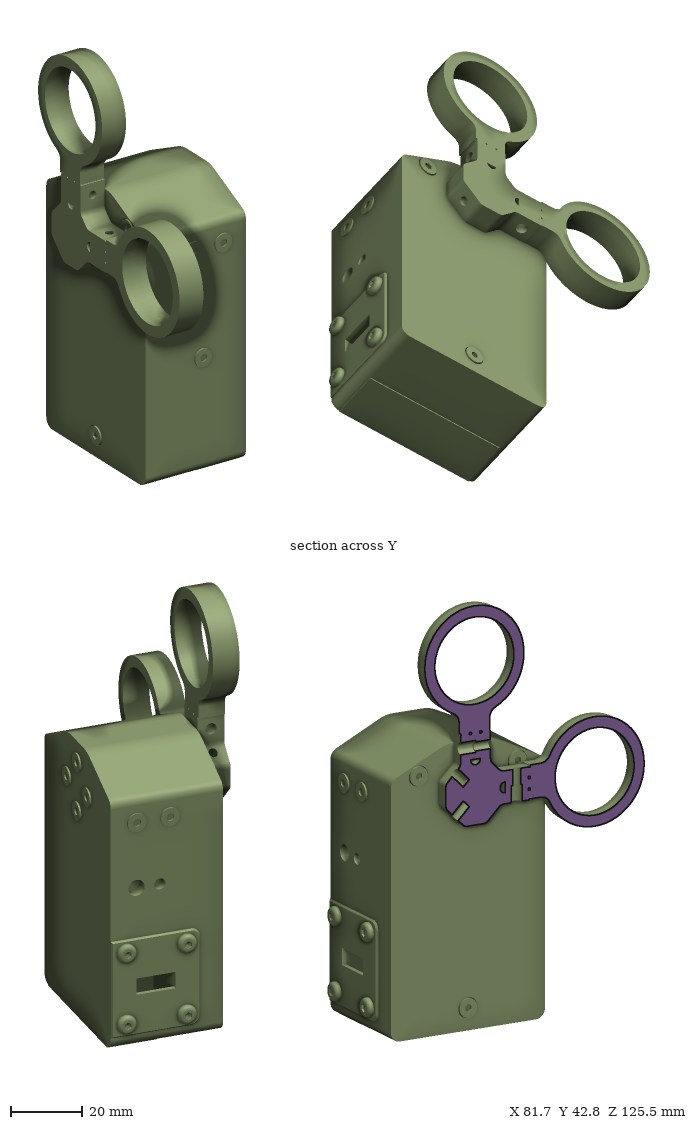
import cadquery as cq
import math

HOUSING_WIDTH = 49.7
HOUSING_DEPTH = 33.9
HOUSING_HEIGHT = 84.6
ROOF_WIDTH = 14.0
ROOF_DROP = 8.4
ROOF_RADIUS = 10.0
CORNER_RADIUS = 2.9
HALF_WIDTH = HOUSING_WIDTH / 2
RAISED = 0.5

AXIS_Z = 70.7
ARM_GAP = 0.4
ARM_THICKNESS = 8.0
ARM_BACK = -ARM_GAP
ARM_MIDDLE = ARM_BACK - ARM_THICKNESS / 2
HUB_INRADIUS = 9.7
HUB_HALF_FLAT = 3.5
HUB_RADIUS = 2.3
ARM_WIDTH = 9.8
NECK_DISTANCE = 17.3
RING_DISTANCE = 38.4
RING_OFFSET = 0.4
RING_OUTER_RADIUS = 16.0
RING_INNER_RADIUS = 12.7
STEM_WIDTH = 10.0
STEM_FILLET = 3.1

NECK_HOLE_DIAMETER = 0.6
NECK_HOLE_PITCH = 3.4
NECK_HOLE_COUNT = 4
SLOT_RADIUS = 1.5
SLOT_DISTANCE = 9.5
CROSS_HOLE_DISTANCE = 13.3
CROSS_HOLE_DIAMETER = 2.5
CROSS_BORE_DIAMETER = 3.4
CROSS_BORE_DEPTH = ARM_WIDTH / 2
SET_HOLE_DIAMETER = 2.6
SET_HOLE_DEPTH = 5.0

COVER_DEPTH = 26.9
COVER_THICKNESS = 0.6
COVER_HEIGHT = 29.7
COVER_Y = HOUSING_DEPTH - COVER_DEPTH / 2
COVER_Z = 18.6
COVER_RADIUS = 2.6
COVER_CHAMFER = 0.44
WINDOW_LENGTH = 11.8
WINDOW_HEIGHT = 5.0
WINDOW_DEPTH = 1.4
CAVITY_DEPTH = 15.0
CAVITY_MARGIN = 0.6
CAVITY_DROP = 12.3

SCREW_SPACING_Y = 18.2
SCREW_SPACING_Z = 22.0
SCREW_HEAD_DIAMETER = 5.8
SCREW_HEAD_HEIGHT = 1.8
SCREW_RIM_HEIGHT = 0.4
SCREW_TOP_RADIUS = 1.6
SCREW_BULGE = 0.31
SOCKET_ACROSS_FLATS = 2.0
SOCKET_DEPTH = 0.8
DRILL_POINT_ANGLE = 118

FLUSH_DIAMETER = 5.6
FLUSH_SOCKET_DIAMETER = 2.3
FLUSH_SOCKET_DEPTH = 0.5
SIDE_HEAD_Z = 69.1
SIDE_HEAD_YS = (16.0, 26.1)
LOWER_HEAD_Y = 19.3
LOWER_HEAD_Z = 35.4
BACK_HEAD_RADIUS = 7.5
FRONT_HEAD_XZ = ((-15.9, 76.5), (15.9, 76.5), (0, 6.7))
FRONT_BORE_DIAMETER = 6.1
FRONT_BORE_DEPTH = 1.0
FRONT_RAISED = 0.4

WALL_HOLES = ((26.1, 4.9), (19.1, 3.4))
WALL_HOLE_Z = 48.8
WALL_HOLE_DEPTH = 3.8

FLOOR_PLATE_WIDTH = 44.4
FLOOR_PLATE_DEPTH = 15.0
FLOOR_PLATE_THICKNESS = 0.4

MARGIN = 0.1

LEFT = cq.Vector(-1, 0, 0)
RIGHT = cq.Vector(1, 0, 0)
FRONT = cq.Vector(0, -1, 0)
BACK = cq.Vector(0, 1, 0)


def cylinder(diameter, length, start, direction):
    return cq.Workplane(obj=cq.Solid.makeCylinder(diameter / 2, length, cq.Vector(*start), direction))


def hexagon(across_flats, length, start, direction):
    plane = cq.Plane(origin=start, normal=direction)
    return cq.Workplane(plane).polygon(6, across_flats / math.cos(math.pi / 6)).extrude(length)


def drill_point(diameter, start, direction):
    radius = diameter / 2
    length = radius / math.tan(math.radians(DRILL_POINT_ANGLE / 2))
    return cq.Workplane(obj=cq.Solid.makeCone(radius, 0, length, cq.Vector(*start), direction))


def block_between(low, high):
    size = [b - a for a, b in zip(low, high)]
    return cq.Workplane().box(*size, centered=False).translate(low)


def housing_block():
    half_roof = ROOF_WIDTH / 2
    shoulder = HOUSING_HEIGHT - ROOF_DROP
    outline = [
        (-HALF_WIDTH, 0),
        (HALF_WIDTH, 0),
        (HALF_WIDTH, shoulder),
        (half_roof, HOUSING_HEIGHT),
        (-half_roof, HOUSING_HEIGHT),
        (-HALF_WIDTH, shoulder),
    ]
    block = cq.Workplane("XZ").polyline(outline).close().extrude(-HOUSING_DEPTH)
    block = block.edges("|Y").edges("<X or >X").fillet(CORNER_RADIUS)
    roof_edges = cq.selectors.BoxSelector(
        (-half_roof - MARGIN, -MARGIN, HOUSING_HEIGHT - MARGIN),
        (half_roof + MARGIN, HOUSING_DEPTH + MARGIN, HOUSING_HEIGHT + MARGIN),
    )
    return block.edges("|Y").edges(roof_edges).fillet(ROOF_RADIUS)


def flush_head(start, direction):
    """A low round head with a round socket, standing on a face of the housing."""
    head = cylinder(FLUSH_DIAMETER, RAISED, start, direction)
    top = cq.Vector(*start) + direction * RAISED
    return head.cut(cylinder(FLUSH_SOCKET_DIAMETER, FLUSH_SOCKET_DEPTH, top.toTuple(), direction * -1))


def add_flush_heads(body):
    for y in SIDE_HEAD_YS:
        body = body.union(flush_head((-HALF_WIDTH, y, SIDE_HEAD_Z), LEFT))
        body = body.union(flush_head((HALF_WIDTH, y, SIDE_HEAD_Z), RIGHT))
    body = body.union(flush_head((HALF_WIDTH, LOWER_HEAD_Y, LOWER_HEAD_Z), RIGHT))
    for x, z in ((0, 1), (1, 0), (0, -1), (-1, 0)):
        start = (x * BACK_HEAD_RADIUS, HOUSING_DEPTH, AXIS_Z + z * BACK_HEAD_RADIUS)
        body = body.union(flush_head(start, BACK))
    return body


def add_front_heads(body):
    """Heads in counterbores of the front face, each leaving a ring-shaped groove."""
    length = FRONT_BORE_DEPTH + FRONT_RAISED
    for x, z in FRONT_HEAD_XZ:
        body = body.cut(cylinder(FRONT_BORE_DIAMETER, FRONT_BORE_DEPTH, (x, 0, z), BACK))
        head = cylinder(FLUSH_DIAMETER, length, (x, FRONT_BORE_DEPTH, z), FRONT)
        socket = hexagon(SOCKET_ACROSS_FLATS, SOCKET_DEPTH, (x, -FRONT_RAISED, z), BACK)
        body = body.union(head.cut(socket))
    return body


def drilled_hole(y, diameter):
    """A blind hole in the left wall, ending in a drill point."""
    hole = cylinder(diameter, WALL_HOLE_DEPTH, (-HALF_WIDTH, y, WALL_HOLE_Z), RIGHT)
    return hole.union(drill_point(diameter, (WALL_HOLE_DEPTH - HALF_WIDTH, y, WALL_HOLE_Z), RIGHT))


def add_side_cover(body):
    """The raised cover with its window and the cavity behind it."""
    cover = (
        cq.Workplane("YZ", origin=(-HALF_WIDTH, COVER_Y, COVER_Z))
        .rect(COVER_DEPTH, COVER_HEIGHT)
        .extrude(-COVER_THICKNESS)
        .edges("|X and <Y")
        .fillet(COVER_RADIUS)
        .faces("<X")
        .chamfer(COVER_CHAMFER)
    )
    y_low = COVER_Y - WINDOW_LENGTH / 2
    y_high = COVER_Y + WINDOW_LENGTH / 2
    z_low = COVER_Z - WINDOW_HEIGHT / 2
    z_high = COVER_Z + WINDOW_HEIGHT / 2
    outside = -HALF_WIDTH - COVER_THICKNESS
    cavity_start = outside + WINDOW_DEPTH
    window = block_between((outside, y_low, z_low), (cavity_start, y_high, z_high))
    cavity = block_between(
        (cavity_start, y_low, z_low - CAVITY_DROP),
        (cavity_start + CAVITY_DEPTH, y_high + CAVITY_MARGIN, z_high + CAVITY_MARGIN),
    )
    return body.union(cover).cut(window).cut(cavity)


def make_housing():
    body = add_front_heads(add_flush_heads(housing_block()))
    for y, diameter in WALL_HOLES:
        body = body.cut(drilled_hole(y, diameter))
    floor_plate = block_between(
        (-FLOOR_PLATE_WIDTH / 2, HOUSING_DEPTH - FLOOR_PLATE_DEPTH, -FLOOR_PLATE_THICKNESS),
        (FLOOR_PLATE_WIDTH / 2, HOUSING_DEPTH, 0),
    )
    return add_side_cover(body).union(floor_plate)


ARM_PLANE = cq.Plane(origin=(0, ARM_BACK, AXIS_Z), xDir=(1, 0, 0), normal=(0, -1, 0))


def arm_plane():
    return cq.Workplane(ARM_PLANE)


def turned_right(shape):
    """The upright shape turned a quarter turn about the hub axis, to point along +X."""
    return shape.rotate((0, 0, AXIS_Z), (0, 1, AXIS_Z), 90)


def mirrored_right(shape):
    """The upright shape mirrored in the diagonal plane between the two arms."""
    return turned_right(shape.mirror("YZ"))


def make_hub():
    """The octagon and both arms up to the necks, with rounded corners."""
    r, f = HUB_INRADIUS, HUB_HALF_FLAT
    octagon = [(r, f), (f, r), (-f, r), (-r, f), (-r, -f), (-f, -r), (f, -r), (r, -f)]
    hub = arm_plane().polyline(octagon).close().extrude(ARM_THICKNESS)
    arm = arm_plane().center(0, NECK_DISTANCE / 2).rect(ARM_WIDTH, NECK_DISTANCE).extrude(ARM_THICKNESS)
    hub = hub.union(arm).union(turned_right(arm))
    reach = NECK_DISTANCE - MARGIN
    inner = cq.selectors.BoxSelector(
        (-reach, -ARM_THICKNESS * 2, AXIS_Z - reach),
        (reach, 0, AXIS_Z + reach),
    )
    return hub.edges("|Y").edges(inner).fillet(HUB_RADIUS)


def ring_holder():
    """The upright ring with its stem."""
    stem_length = RING_DISTANCE - NECK_DISTANCE
    disc = arm_plane().center(-RING_OFFSET, RING_DISTANCE).circle(RING_OUTER_RADIUS).extrude(ARM_THICKNESS)
    stem = (
        arm_plane()
        .center(-RING_OFFSET, NECK_DISTANCE + stem_length / 2)
        .rect(STEM_WIDTH, stem_length)
        .extrude(ARM_THICKNESS)
    )
    joint_z = AXIS_Z + RING_DISTANCE - math.sqrt(RING_OUTER_RADIUS**2 - (STEM_WIDTH / 2) ** 2)
    joint = cq.selectors.BoxSelector(
        (-STEM_WIDTH, -ARM_THICKNESS * 2, joint_z - MARGIN),
        (STEM_WIDTH, 0, joint_z + MARGIN),
    )
    holder = disc.union(stem).edges("|Y").edges(joint).fillet(STEM_FILLET)
    bore = arm_plane().center(-RING_OFFSET, RING_DISTANCE).circle(RING_INNER_RADIUS).extrude(ARM_THICKNESS)
    return holder.cut(bore)


def upright_arm_cuts():
    """The neck holes, the half-round opening and the cross hole of the upright arm."""
    neck_holes = (
        arm_plane()
        .center(0, NECK_DISTANCE)
        .rarray(NECK_HOLE_PITCH, 1.3, NECK_HOLE_COUNT, 1)
        .circle(NECK_HOLE_DIAMETER / 2)
        .extrude(ARM_THICKNESS)
    )
    opening = (
        arm_plane()
        .moveTo(-SLOT_RADIUS, SLOT_DISTANCE)
        .threePointArc((0, SLOT_DISTANCE - SLOT_RADIUS), (SLOT_RADIUS, SLOT_DISTANCE))
        .close()
        .extrude(ARM_THICKNESS)
    )
    start = (-ARM_WIDTH / 2, ARM_MIDDLE, AXIS_Z + CROSS_HOLE_DISTANCE)
    cross_hole = cylinder(CROSS_HOLE_DIAMETER, ARM_WIDTH, start, RIGHT)
    cross_bore = cylinder(CROSS_BORE_DIAMETER, CROSS_BORE_DEPTH, start, RIGHT)
    return [neck_holes, opening, cross_hole.union(cross_bore)]


def set_hole(side):
    """A blind hole in a slanted left face of the hub, above (1) or below (-1) the axis."""
    offset = (HUB_INRADIUS + HUB_HALF_FLAT) / 2
    start = (-offset, ARM_MIDDLE, AXIS_Z + side * offset)
    return cylinder(SET_HOLE_DIAMETER, SET_HOLE_DEPTH, start, cq.Vector(1, 0, -side))


def make_flip_arm():
    holder = ring_holder()
    arm = make_hub().union(holder).union(turned_right(holder))
    for cut in upright_arm_cuts():
        arm = arm.cut(cut).cut(mirrored_right(cut))
    for side in (1, -1):
        arm = arm.cut(set_hole(side))
    return arm


def cover_screw(y, z):
    """A dome-headed screw resting on the side cover, with a drilled hexagon socket."""
    radius = SCREW_HEAD_DIAMETER / 2
    middle_radius = (radius + SCREW_TOP_RADIUS) / 2 + SCREW_BULGE
    middle_height = (SCREW_RIM_HEIGHT + SCREW_HEAD_HEIGHT) / 2 + SCREW_BULGE
    base_x = -HALF_WIDTH - COVER_THICKNESS
    plane = cq.Plane(origin=(base_x, y, z), xDir=(0, 1, 0), normal=(0, 0, 1))
    head = (
        cq.Workplane(plane)
        .lineTo(radius, 0)
        .lineTo(radius, SCREW_RIM_HEIGHT)
        .threePointArc((middle_radius, middle_height), (SCREW_TOP_RADIUS, SCREW_HEAD_HEIGHT))
        .lineTo(0, SCREW_HEAD_HEIGHT)
        .close()
        .revolve(360, (0, 0), (0, 1))
    )
    top_x = base_x - SCREW_HEAD_HEIGHT
    socket = hexagon(SOCKET_ACROSS_FLATS, SOCKET_DEPTH, (top_x, y, z), RIGHT)
    point = drill_point(SOCKET_ACROSS_FLATS, (top_x + SOCKET_DEPTH, y, z), RIGHT)
    return head.cut(socket).cut(point)


housing = make_housing()
flip_arm = make_flip_arm()
screws = [
    cover_screw(COVER_Y + side_y * SCREW_SPACING_Y / 2, COVER_Z + side_z * SCREW_SPACING_Z / 2)
    for side_y in (-1, 1)
    for side_z in (-1, 1)
]

result = cq.Compound.makeCompound([body.solids().val() for body in (housing, flip_arm, *screws)])